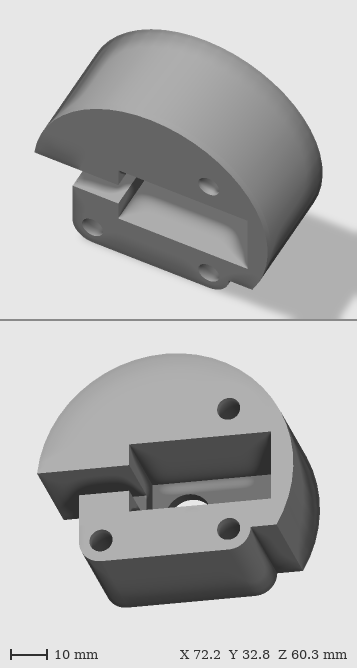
import cadquery as cq
import math

width = 72.2
height = 60.35
depth = 32.8
plate_thickness = 2.0

ledge_z = 3.8
bolt_offset = 18.0
arc_radius = (width**2 + ledge_z**2) / (2 * width)
corner_radius = height - arc_radius - bolt_offset

bolt_diameter = 6.5
shaft_diameter = 12.7
bolt_centres = [
    (bolt_offset, bolt_offset),
    (bolt_offset, -bolt_offset),
    (-bolt_offset, -bolt_offset),
]

pocket_left = -10.0
pocket_right = 29.95
pocket_height = 20.1
pocket_floor_thickness = 4.0
pocket_depth = depth - pocket_floor_thickness
channel_height = 2 * ledge_z
channel_depth = 21.45


def box_from_front(left, right, box_height, box_depth):
    """Box centred on the axis in Z, reaching back (+Y) from the front face."""
    return cq.Workplane("XY").box(
        right - left, box_depth, box_height, centered=(False, False, True)
    ).translate((left, 0, 0))


def outline_slab(front, back):
    """Full outline extruded between two Y positions."""
    side_x = bolt_offset + corner_radius
    base_z = -bolt_offset - corner_radius
    diagonal = bolt_offset + corner_radius * math.sqrt(0.5)
    left_tip = -math.sqrt(arc_radius**2 - ledge_z**2)
    right_tip = math.sqrt(arc_radius**2 - bolt_offset**2)
    return (
        cq.Workplane("XZ", origin=(0, front, 0))
        .moveTo(left_tip, ledge_z)
        .threePointArc((0, arc_radius), (right_tip, -bolt_offset))
        .lineTo(side_x, -bolt_offset)
        .threePointArc((diagonal, -diagonal), (bolt_offset, base_z))
        .lineTo(-bolt_offset, base_z)
        .threePointArc((-diagonal, -diagonal), (-side_x, -bolt_offset))
        .lineTo(-side_x, ledge_z)
        .close()
        .extrude(front - back)
    )


def through_holes(centres, diameter):
    """Cylinders along Y through the full depth."""
    return cq.Workplane("XZ").pushPoints(centres).circle(diameter / 2).extrude(-depth)


bolt_holes = through_holes(bolt_centres, bolt_diameter)
shaft_hole = through_holes([(0, 0)], shaft_diameter)
pocket = box_from_front(pocket_left, pocket_right, pocket_height, pocket_depth)
channel = box_from_front(-bolt_offset - corner_radius, pocket_left, channel_height, channel_depth)


def cut_openings(slab):
    return slab.cut(bolt_holes).cut(shaft_hole).cut(pocket).cut(channel)


cover = cut_openings(outline_slab(0, plate_thickness))

housing = cut_openings(outline_slab(plate_thickness, depth))

result = cq.Compound.makeCompound([housing.val(), cover.val()])